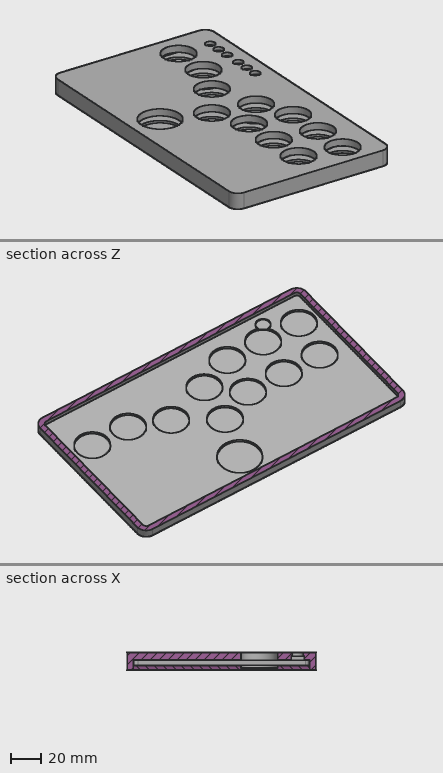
import cadquery as cq

LENGTH = 214.6
WIDTH = 124.7
HEIGHT = 11.8
CORNER_RADIUS = 7.0
RIM_THICKNESS = 4.5
ROOF_THICKNESS = 5.2
CAVITY_HEIGHT = HEIGHT - ROOF_THICKNESS

BASE_THICKNESS = 3.2
POCKET_DEPTH = 1.7
POCKET_FLOOR = BASE_THICKNESS - POCKET_DEPTH

SEAT_DIAMETER = 10.0
SEAT_DEPTH = 0.9
SEAT_CENTRE = (68.5, 49.0)
SEAT_FLOOR = BASE_THICKNESS - SEAT_DEPTH

BUTTON_DIAMETER = 24.0
BUTTON_PITCH = 29.0
STAGGER_X = 26.6
STAGGER_Y = 11.4
LEFT_ROW_START = (-86.7, 25.0)
UPPER_ROW_START = (3.9, 25.0)
LOWER_ROW_START = (-1.7, -6.5)
RIGHT_ROW_COUNT = 3

THUMB_DIAMETER = 30.0
THUMB_CENTRE = (-13.5, -39.7)

OPTION_DIAMETER = 7.0
OPTION_PITCH = 9.9
OPTION_GROUP_STARTS = (-87.0, -54.0)
OPTION_GROUP_COUNT = 3
OPTION_Y = 50.2
OPTION_ROOF_THICKNESS = 2.5
OPTION_RECESS_WIDTH = 8.4


def left_buttons():
    """Two buttons in line and a third one set lower."""
    x, y = LEFT_ROW_START
    second_x = x + BUTTON_PITCH
    return [(x, y), (second_x, y), (second_x + STAGGER_X, y - STAGGER_Y)]


def right_buttons(start):
    """One low button, then a straight row set higher on its right."""
    x, y = start
    row = [(x + STAGGER_X + i * BUTTON_PITCH, y + STAGGER_Y) for i in range(RIGHT_ROW_COUNT)]
    return [start] + row


def button_centres():
    return left_buttons() + right_buttons(UPPER_ROW_START) + right_buttons(LOWER_ROW_START)


def option_centres():
    return [
        (start + i * OPTION_PITCH, OPTION_Y)
        for start in OPTION_GROUP_STARTS
        for i in range(OPTION_GROUP_COUNT)
    ]


def cut_round(body, centres, diameter, bottom, top):
    """Cut a vertical round hole at each centre, from one height to another."""
    plane = cq.Workplane("XY", origin=(0, 0, bottom))
    return body.cut(plane.pushPoints(centres).circle(diameter / 2).extrude(top - bottom))


def cut_button_openings(body, bottom, top):
    body = cut_round(body, button_centres(), BUTTON_DIAMETER, bottom, top)
    return cut_round(body, [THUMB_CENTRE], THUMB_DIAMETER, bottom, top)


def rounded_plate(inset, height):
    """Plate standing on Z = 0, its outline moved inwards from the case outline."""
    plate = cq.Workplane("XY").box(
        LENGTH - 2 * inset, WIDTH - 2 * inset, height, centered=(True, True, False)
    )
    return plate.edges("|Z").fillet(CORNER_RADIUS - inset)


def option_recess():
    """Straight recess under the option buttons that thins the roof there."""
    first_x = option_centres()[0][0]
    last_x = option_centres()[-1][0]
    length = last_x - first_x + 2 * OPTION_PITCH
    depth = ROOF_THICKNESS - OPTION_ROOF_THICKNESS
    recess = cq.Workplane("XY").box(length, OPTION_RECESS_WIDTH, depth, centered=(True, True, False))
    return recess.translate(((first_x + last_x) / 2, OPTION_Y, CAVITY_HEIGHT))


def make_housing():
    housing = rounded_plate(0, HEIGHT).cut(rounded_plate(RIM_THICKNESS, CAVITY_HEIGHT))
    housing = cut_button_openings(housing, CAVITY_HEIGHT, HEIGHT)
    housing = housing.cut(option_recess())
    return cut_round(housing, option_centres(), OPTION_DIAMETER, CAVITY_HEIGHT, HEIGHT)


def make_base():
    base = rounded_plate(RIM_THICKNESS, BASE_THICKNESS)
    base = cut_button_openings(base, POCKET_FLOOR, BASE_THICKNESS)
    return cut_round(base, [SEAT_CENTRE], SEAT_DIAMETER, SEAT_FLOOR, BASE_THICKNESS)


housing = make_housing()
base = make_base()
result = cq.Compound.makeCompound([housing.val(), base.val()])